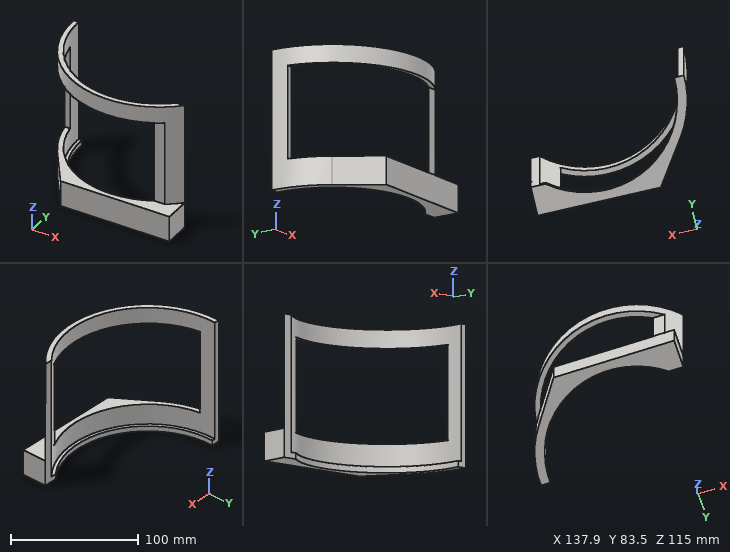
import cadquery as cq
import math

length = 137.9
depth = 83.5
height = 115.0

outer_radius = 80.8
wall_thickness = 5.0
inner_radius = outer_radius - wall_thickness
right_end_y = 23.6

ledge_width = 3.0
ledge_height = 5.0

base_height = 23.6
top_band_height = 15.0
left_post_depth = 15.0
right_post_depth = 10.0

base_corner_x = 38.0


def end_limits(level_height):
    """Region in front of the back ends of the wall, deeper left of the arc centre."""
    left = cq.Workplane("XY").box(outer_radius, depth, level_height, centered=False)
    right = cq.Workplane("XY").box(length, right_end_y, level_height, centered=False)
    return left.union(right)


def cylinder(radius, level_height):
    """Upright cylinder about the arc centre, starting at the bottom."""
    return cq.Workplane("XY").center(outer_radius, outer_radius).circle(radius).extrude(level_height)


def curved_wall():
    ring = cylinder(outer_radius, height).cut(cylinder(inner_radius, height))
    return ring.intersect(end_limits(height))


def base():
    tangent_length = outer_radius - base_corner_x
    slant_angle = math.pi - 2 * math.atan2(outer_radius, tangent_length)
    tangent_x = base_corner_x - tangent_length * math.cos(slant_angle)
    tangent_y = tangent_length * math.sin(slant_angle)
    front_block = (
        cq.Workplane("XY")
        .moveTo(tangent_x, tangent_y)
        .lineTo(base_corner_x, 0)
        .lineTo(length, 0)
        .lineTo(length, right_end_y)
        .lineTo(outer_radius, outer_radius)
        .close()
        .extrude(base_height)
    )
    solid = cylinder(outer_radius, base_height).union(front_block)
    bore = cylinder(inner_radius, base_height)
    return solid.cut(bore).intersect(end_limits(base_height))


def inner_ledge():
    ring = cylinder(inner_radius, ledge_height).cut(cylinder(inner_radius - ledge_width, ledge_height))
    return ring.intersect(end_limits(ledge_height))


def window():
    """Cutter that leaves a post at each end; both post faces look forward."""
    window_height = height - base_height - top_band_height
    left = cq.Workplane("XY").box(
        outer_radius, depth - left_post_depth, window_height, centered=False
    )
    right = cq.Workplane("XY").box(
        length, right_end_y - right_post_depth, window_height, centered=False
    )
    return left.union(right).translate((0, 0, base_height))


result = curved_wall().cut(window()).union(base()).union(inner_ledge())